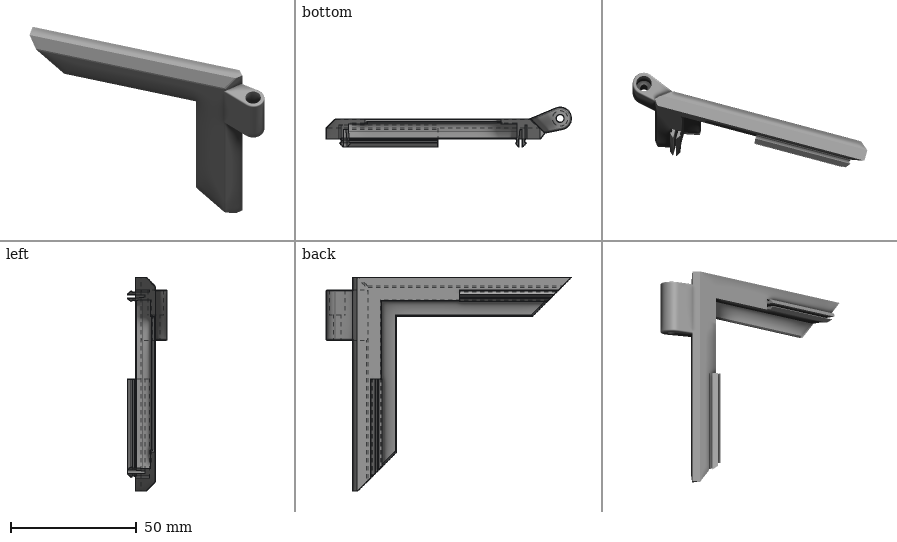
import cadquery as cq
import math

corner = 87.0
height = 84.9
arm_thickness = 8.0
arm_width = 17.6
reach = 2 * corner

ridge_y = -2.3
back_edge_depth = 1.8
front_bevel_start = 5.5
front_bevel_end = 6.0
hip_chamfer = 0.4

wall_depth = 11.0
wall_mouth_depth = 11.2
wall_taper_y = -2.9
bead_size = 0.2
bead_half_height = 0.5
bead_flat_half_height = 0.2
pocket_y = -5.95
recess_y = -6.4
recess_end_margin = 0.9
lip_back_chamfer = 0.6
lip_front_chamfer = 0.3

rail_end = 44.5
rail_top_y = 3.2
barb_y = 1.7
barb_under_y = 1.2
slit_start = 7.1
slit_end = 8.0
slit_y = -5.7
outer_barb_depth = 7.4
outer_crest_depth = 8.9
slot_start = 9.1
slot_end = 10.3
slot_floor_end = 9.9
slot_y = -3.8
inner_crest_depth = 10.5
inner_barb_depth = 11.7

lug_radius = 4.5
lug_x = 97.5 - lug_radius
lug_y = -8.2
lug_bottom = 59.9
lug_height = 20.0
lug_fillet = 0.6
pin_diameter = 3.0
bore_diameter = 6.1
bore_depth = lug_height / 2


def arm_prism(section, start=0, end=reach):
    """Extrude a (depth, y) section along Z as part of the upright arm."""
    points = [(corner - depth, y) for depth, y in section]
    return cq.Workplane("XY").workplane(offset=start).polyline(points).close().extrude(end - start)


def xz_prism(points):
    """Extrude an (x, z) outline through the full thickness of the part."""
    return cq.Workplane("XZ").polyline(points).close().extrude(reach, both=True)


def mitre_region(offset=0):
    """Everything on the corner side of the mitred ends, moved inward by offset."""
    line_sum = height + offset
    return xz_prism([(line_sum, 0), (reach, 0), (reach, height), (line_sum - height, height)])


def both_arms(upright):
    """Trim an upright piece at the corner diagonal and add its mirrored twin."""
    upright_side = xz_prism([(-reach, -reach), (reach, -reach), (reach, reach)])
    half = upright.intersect(upright_side)
    twin = cq.Workplane(half.val().mirror(cq.Vector(1, 0, -1), cq.Vector(0, 0, 0)))
    return half.union(twin)


def frame():
    """Mitred L-shaped frame with the hip at its outer corner bevelled."""
    arm_section = [
        (back_edge_depth, 0),
        (0, ridge_y),
        (front_bevel_start, ridge_y - front_bevel_start),
        (front_bevel_end, -arm_thickness),
        (arm_width - lip_front_chamfer, -arm_thickness),
        (arm_width, lip_front_chamfer - arm_thickness),
        (arm_width, pocket_y),
        (wall_depth, pocket_y),
        (wall_depth, wall_taper_y),
        (wall_mouth_depth, -bead_half_height),
        (wall_mouth_depth + bead_size, -bead_flat_half_height),
        (wall_mouth_depth + bead_size, 0),
    ]
    body = both_arms(arm_prism(arm_section)).intersect(mitre_region())
    hip_depth = (corner - height + front_bevel_start) / 2
    hip_middle = (corner - hip_depth, ridge_y - hip_depth, corner - hip_depth)
    hip_edge = cq.selectors.NearestToPointSelector(hip_middle)
    return body.edges(hip_edge).chamfer(hip_chamfer)


def recess():
    """Shallow step in the pocket floor that stops short of the mitred ends."""
    section = [
        (wall_depth, pocket_y),
        (wall_depth, recess_y),
        (arm_width - lip_back_chamfer, recess_y),
        (arm_width, recess_y - lip_back_chamfer),
        (arm_width, pocket_y),
    ]
    return both_arms(arm_prism(section)).intersect(mitre_region(recess_end_margin))


def rail_gaps():
    """Slit and slot that leave the two prongs of each rail free to flex."""
    slit = [(slit_start, 0), (slit_end, 0), (slit_end, slit_y), (slit_start, slit_y)]
    slot = [(slot_start, 0), (slot_end, 0), (slot_floor_end, slot_y), (slot_start, slot_y)]
    gaps = arm_prism(slit, 0, rail_end).union(arm_prism(slot, 0, rail_end))
    return both_arms(gaps)


def bead(depth, direction):
    """Section points, from bottom to top, of a bead on the side of a prong facing away from the slot."""
    crest = depth + direction * bead_size
    return [
        (depth, -bead_half_height),
        (crest, -bead_flat_half_height),
        (crest, bead_flat_half_height),
        (depth, bead_half_height),
    ]


def rail_barbs():
    """Barbed prong tips standing out from the back face."""
    outer_prong = [
        *bead(slit_end, -1),
        (slit_end, barb_under_y),
        (outer_barb_depth, barb_y),
        (outer_crest_depth, rail_top_y),
        (slot_start, rail_top_y),
        (slot_start, 0),
    ]
    inner_prong = [
        (slot_end, 0),
        (slot_end, rail_top_y),
        (inner_crest_depth, rail_top_y),
        (inner_barb_depth, barb_y),
        (wall_mouth_depth, barb_under_y),
        *reversed(bead(wall_mouth_depth, 1)),
    ]
    barbs = arm_prism(outer_prong, 0, rail_end).union(arm_prism(inner_prong, 0, rail_end))
    return both_arms(barbs).intersect(mitre_region())


def tangent_point(x, y, side):
    """Point where a line from (x, y) touches the lug; side picks the line."""
    distance = math.hypot(x - lug_x, y - lug_y)
    angle = math.atan2(y - lug_y, x - lug_x) + side * math.acos(lug_radius / distance)
    return (lug_x + lug_radius * math.cos(angle), lug_y + lug_radius * math.sin(angle))


def hinge_lug():
    """Rounded lug whose sides run tangent from its barrel to the frame."""
    ridge = (corner, ridge_y)
    front = (corner - front_bevel_end, -arm_thickness)
    lug = (
        cq.Workplane("XY")
        .workplane(offset=lug_bottom)
        .moveTo(*front)
        .lineTo(*tangent_point(*front, 1))
        .threePointArc((lug_x + lug_radius, lug_y), tangent_point(*ridge, -1))
        .lineTo(*ridge)
        .close()
        .extrude(lug_height)
    )
    slope_x = (ridge[0] + front[0]) / 2
    slope_y = (ridge[1] + front[1]) / 2
    for face, z in (("<Z", lug_bottom), (">Z", lug_bottom + lug_height)):
        slope_edge = cq.selectors.NearestToPointSelector((slope_x, slope_y, z))
        rim = cq.selectors.SubtractSelector(cq.selectors.StringSyntaxSelector("#Z"), slope_edge)
        lug = lug.faces(face).edges(rim).fillet(lug_fillet)
    return lug


def hinge_bore():
    """Pin hole through the lug with a wider bore from its top."""
    lug_top = lug_bottom + lug_height
    axis = cq.Workplane("XY").center(lug_x, lug_y)
    pin_hole = axis.workplane(offset=lug_bottom).circle(pin_diameter / 2).extrude(lug_height)
    bore = axis.workplane(offset=lug_top - bore_depth).circle(bore_diameter / 2).extrude(bore_depth)
    return pin_hole.union(bore)


result = (
    frame()
    .cut(recess())
    .cut(rail_gaps())
    .union(rail_barbs())
    .union(hinge_lug())
    .cut(hinge_bore())
)